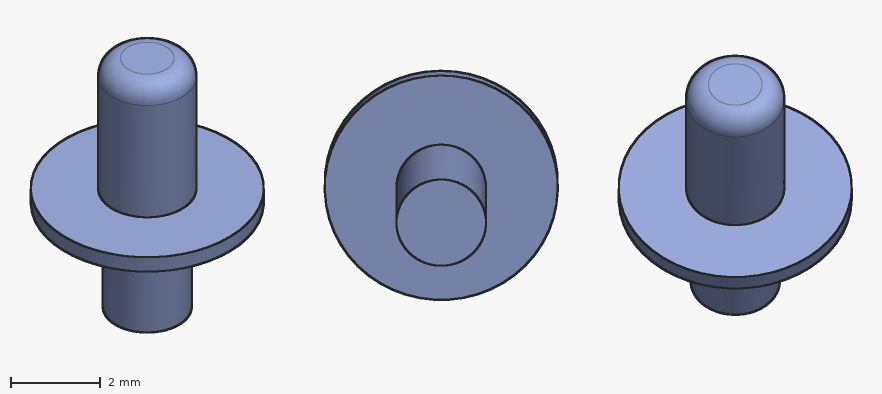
import cadquery as cq

total_height = 6.87
flange_diameter = 5.2
flange_thickness = 0.4
upper_pin_diameter = 2.2
upper_pin_length = 3.6
tip_radius = 0.5
lower_pin_diameter = 2.0

lower_pin_length = total_height - upper_pin_length - flange_thickness

lower_pin = cq.Workplane("XY").circle(lower_pin_diameter / 2).extrude(lower_pin_length)

flange = lower_pin.faces(">Z").workplane().circle(flange_diameter / 2).extrude(flange_thickness)

stepped_pin = flange.faces(">Z").workplane().circle(upper_pin_diameter / 2).extrude(upper_pin_length)
result = stepped_pin.faces(">Z").edges().fillet(tip_radius)